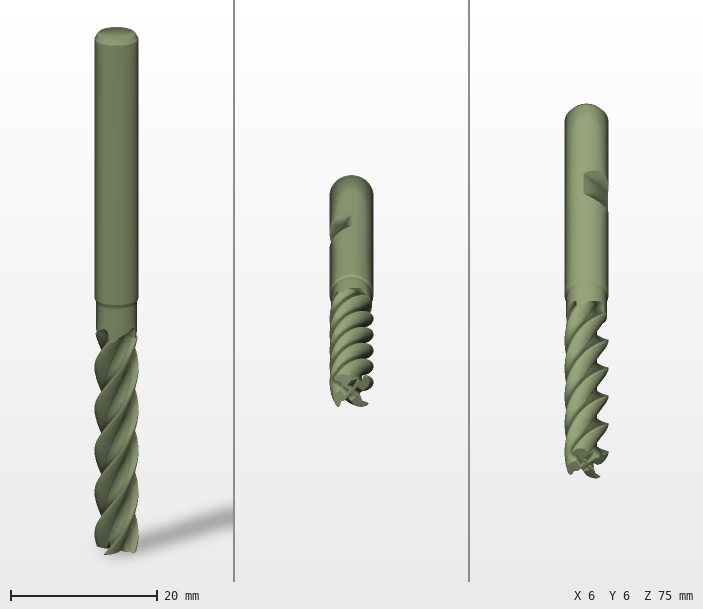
import cadquery as cq
import math

overall_length = 75.0
tool_radius = 3.0

flute_count = 4
flute_step = 360.0 / flute_count
head_length = 31.1
helix_angle = 38.0
helix_pitch = 2 * math.pi * tool_radius / math.tan(math.radians(helix_angle))
twist_per_length = 360.0 / helix_pitch
head_twist = head_length * twist_per_length

margin_angle = 8.0
heel_radius = 2.8
heel_angle = 20.0
ridge_radius = 1.6
ridge_angle = 50.0
floor_radius = 1.4
floor_angle = 72.0
rake_root_radius = 2.0
rake_root_angle = 97.0

tip_chamfer_width = 0.2
tip_chamfer_height = 0.2
end_relief_angle = 14.0
gash_height = 1.65
gash_width = 1.05
gash_start = 0.3

neck_radius = 2.8
neck_top = 36.0
shank_bottom = 36.6
shank_chamfer_width = 0.45
shank_chamfer_height = 0.75

notch_depth = 1.3
notch_center = 57.15
notch_floor_length = 4.3
notch_side_angle = 45.0

runout_height = 1.65
runout_tip_radius = 0.7
runout_slope_angle = 29.0

clearance = 0.75


def polar(radius, angle):
    """Point in the cross-section at a radius and an angle in degrees."""
    return (radius * math.cos(math.radians(angle)), radius * math.sin(math.radians(angle)))


def add_flute_side(outline, edge):
    """Continue an outline from the margin behind one cutting edge to the next cutting edge."""
    return (
        outline.threePointArc(
            polar(heel_radius, edge + heel_angle), polar(ridge_radius, edge + ridge_angle)
        )
        .threePointArc(
            polar(floor_radius, edge + floor_angle), polar(rake_root_radius, edge + rake_root_angle)
        )
        .lineTo(*polar(tool_radius, edge + flute_step))
    )


def fluted_bar():
    """Teeth over the whole head length, with a square end."""
    outline = cq.Workplane("XY").moveTo(tool_radius, 0)
    for tooth in range(flute_count):
        edge = tooth * flute_step
        outline = outline.threePointArc(
            polar(tool_radius, edge + margin_angle / 2), polar(tool_radius, edge + margin_angle)
        )
        outline = add_flute_side(outline, edge)
    return outline.close().twistExtrude(head_length, head_twist)


def tip_chamfer_ring():
    """Ring that bevels the outer corner of every tooth at the tip."""
    slope = tip_chamfer_height / tip_chamfer_width
    outer_radius = tool_radius + clearance
    return (
        cq.Workplane("XZ")
        .moveTo(tool_radius - tip_chamfer_width, 0)
        .lineTo(outer_radius, 0)
        .lineTo(outer_radius, slope * (outer_radius - tool_radius + tip_chamfer_width))
        .close()
        .revolve(360, (0, 0, 0), (0, 1, 0))
    )


def end_relief_wedge():
    """Wedge under the tooth on +X: the end face rises behind its cutting edge."""
    rise = tool_radius * math.tan(math.radians(end_relief_angle))
    return (
        cq.Workplane("YZ")
        .polyline([(0, 0), (tool_radius, 0), (tool_radius, rise)])
        .close()
        .extrude(tool_radius + clearance)
    )


def gash_wedge():
    """Wedge in front of the tooth on +X: opens its end cutting edge towards the center."""
    return (
        cq.Workplane("YZ", origin=(gash_start, 0, 0))
        .polyline([(0, 0), (0, gash_height), (-gash_width, 0)])
        .close()
        .extrude(tool_radius + clearance)
    )


def make_cutting_head():
    head = fluted_bar().cut(tip_chamfer_ring())
    for tooth in range(flute_count):
        for wedge in (end_relief_wedge(), gash_wedge()):
            head = head.cut(wedge.rotate((0, 0, 0), (0, 0, 1), tooth * flute_step))
    return head


def turned_shank():
    """Shank and neck as one turned body."""
    return (
        cq.Workplane("XZ")
        .moveTo(0, head_length)
        .lineTo(neck_radius, head_length)
        .lineTo(neck_radius, neck_top)
        .lineTo(tool_radius, shank_bottom)
        .lineTo(tool_radius, overall_length - shank_chamfer_height)
        .lineTo(tool_radius - shank_chamfer_width, overall_length)
        .lineTo(0, overall_length)
        .close()
        .revolve(360, (0, 0, 0), (0, 1, 0))
    )


def clamping_notch():
    """Trapezoid across the whole width, cut in from +Y."""
    floor_y = tool_radius - notch_depth
    floor_half = notch_floor_length / 2
    mouth_half = floor_half + notch_depth / math.tan(math.radians(notch_side_angle))
    return (
        cq.Workplane("YZ")
        .moveTo(floor_y, notch_center - floor_half)
        .lineTo(tool_radius, notch_center - mouth_half)
        .lineTo(tool_radius, notch_center + mouth_half)
        .lineTo(floor_y, notch_center + floor_half)
        .close()
        .extrude(tool_radius, both=True)
    )


def flute_continuation():
    """The space of one flute, carried on along the helix above the head."""
    outer_radius = tool_radius + 2 * clearance
    outline = cq.Workplane("XY", origin=(0, 0, head_length)).moveTo(*polar(tool_radius, margin_angle))
    return (
        add_flute_side(outline, 0)
        .lineTo(*polar(outer_radius, flute_step))
        .lineTo(*polar(outer_radius, margin_angle))
        .close()
        .twistExtrude(runout_height, runout_height * twist_per_length)
        .rotate((0, 0, 0), (0, 0, 1), head_twist)
    )


def runout_outline():
    """Radial prism with a rounded tip whose leading side meets the end of a rake face."""
    slope = math.radians(runout_slope_angle)
    tip_z = head_length + runout_height - runout_tip_radius
    shoulder = (-runout_tip_radius * math.sin(slope), tip_z + runout_tip_radius * math.cos(slope))
    trailing_x = -neck_radius
    trailing_z = shoulder[1] - (shoulder[0] - trailing_x) * math.tan(slope)
    leading_angle = math.degrees(math.asin(runout_tip_radius / neck_radius))
    facing_angle = head_twist + flute_step - leading_angle
    front_angle = -90.0
    return (
        cq.Workplane("XZ")
        .moveTo(trailing_x, head_length)
        .lineTo(runout_tip_radius, head_length)
        .lineTo(runout_tip_radius, tip_z)
        .threePointArc((0, tip_z + runout_tip_radius), shoulder)
        .lineTo(trailing_x, trailing_z)
        .close()
        .extrude(neck_radius + clearance)
        .rotate((0, 0, 0), (0, 0, 1), facing_angle - front_angle)
    )


def make_shank():
    shank = turned_shank().cut(clamping_notch())
    runout = flute_continuation().intersect(runout_outline())
    for flute in range(flute_count):
        shank = shank.cut(runout.rotate((0, 0, 0), (0, 0, 1), flute * flute_step))
    return shank


cutting_head = make_cutting_head()
shank = make_shank()
result = cq.Compound.makeCompound([cutting_head.solids().val(), shank.solids().val()])